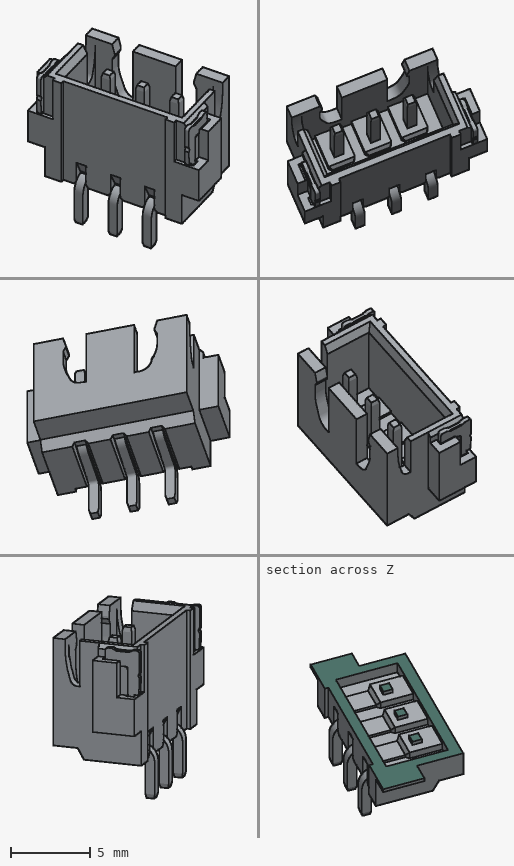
import cadquery as cq
import math


shell_width = 10.0
shell_height = 7.81
shell_back = 5.96
front_wall_y = 0.25
heel_height = 0.72
heel_y = 4.3
heel_slope_y = 3.88
front_rib_inner_x = 3.8
front_rib_outer_x = 4.44

cavity_width = 8.62
cavity_front = 0.99
cavity_back = 5.15
cavity_floor = 1.75
lead_in = 0.3
lead_in_depth = 0.59

curve_lean = math.radians(19.5)
side_slot_front = 4.16
side_slot_bottom = 4.8
side_slot_top_radius = 6.25
side_slot_root_radius = 0.51
tab_edge_x = 3.08
tab_hook = 0.18
tab_hook_height = 0.68
tab_hook_flat = 0.18
tab_hook_end = 1.21
tab_curve_start_z = 5.74
tab_curve_radius = 2.79
tab_curve_end_z = 4.0
tab_root_radius = 0.81
panel_edge_x = 1.56

overall_width = 12.5
wing_back = 2.82
wing_bottom = 2.29
wing_ledge = 4.72
wing_top = 7.0
wing_front = 1.2
clip_inner_x = 5.25
clip_thickness = 0.31
clip_front = -0.09
clip_back = 2.22
clip_top = 7.72
clip_arm_bottom = 6.61
clip_leg_back = 0.69
clip_leg_depth = 0.75
clip_foot_gap = 0.09
clip_corner = 0.18
clip_dip = 0.1
clip_dip_front = 0.52
clip_dip_back = 1.58
clip_dip_slope = 0.19
clip_dip_root_radius = 0.38
clip_dip_crest_radius = 0.15
clip_inner_corner = 0.15
clip_foot_corner = 0.1
clip_notch_radius = 0.05
clip_dip_bevel = 0.05
clip_notch_z = 6.1
clip_notch_half = 0.18
clip_taper_z = 5.84
clip_taper = 0.05
entry_chamfer = 0.15
entry_arm_back = 2.35
entry_leg_back = 0.76
web_front = 0.72
web_inset = 0.01
web_corner = 0.18
root_chamfer_height = 0.3

pin_pitch = 2.5
pin_count = 3
pin_size = 0.65
pin_front = -0.09
pin_post_y = 3.68
pin_bottom = -2.79
pin_top = 6.78
pin_tip = 0.3
pin_tip_inset = 0.08
pin_arm_tilt = math.radians(2.6)
bend_z = -0.39
bend_outer_radius = 1.04
bend_inner_radius = 0.25

passage_width = 0.7
passage_top = 1.72
passage_back_z = 0.74
passage_depth = 0.5
flare_width = 1.05
flare_height = 0.21
pad_height = 0.5
pad_width = 1.81
pad_front = 2.92
pad_step = 0.31
ridge_width = 1.41
ridge_back = 2.71

clip_outer_x = clip_inner_x + clip_thickness
pin_positions = [(i - (pin_count - 1) / 2) * pin_pitch for i in range(pin_count)]


def box(x0, x1, y0, y1, z0, z1):
    """Axis-aligned block between two corners."""
    return cq.Workplane("XY").box(x1 - x0, y1 - y0, z1 - z0, centered=False).translate((x0, y0, z0))


def both_sides(solid):
    """The solid together with its mirror image across X = 0."""
    return solid.union(solid.mirror("YZ"))


def on_arc(centre, radius, angle):
    """Point at the given angle on a circle."""
    return (centre[0] + radius * math.cos(angle), centre[1] + radius * math.sin(angle))


def make_shell():
    """Solid shell block with a stepped heel and raised ribs on the front wall."""
    half = shell_width / 2
    outline = [
        (front_wall_y, 0),
        (heel_slope_y, 0),
        (heel_y, heel_height),
        (shell_back, heel_height),
        (shell_back, shell_height),
        (front_wall_y, shell_height),
    ]
    shell = cq.Workplane("YZ").polyline(outline).close().extrude(half, both=True)
    rib = box(front_rib_inner_x, half, 0, front_wall_y, 0, wing_ledge)
    rib = rib.union(box(front_rib_inner_x, front_rib_outer_x, 0, front_wall_y, 0, shell_height))
    return shell.union(both_sides(rib))


def make_wings():
    """Stepped side wings, each with a web that backs the gap inside the clip."""
    half = shell_width / 2
    outer = overall_width / 2
    base = box(half, outer, 0, wing_back, wing_bottom, wing_ledge)
    block = box(clip_inner_x, outer, wing_front, wing_back, wing_ledge, wing_top)
    root_outline = [
        (half, wing_bottom),
        (clip_inner_x, wing_bottom),
        (clip_inner_x, shell_height - root_chamfer_height),
        (half, shell_height),
    ]
    root = cq.Workplane("XZ", origin=(0, front_wall_y, 0)).polyline(root_outline).close()
    root = root.extrude(front_wall_y - wing_back)
    web = box(clip_inner_x, clip_outer_x - web_inset, web_front, wing_front, wing_ledge, clip_arm_bottom)
    web = web.edges("|X").edges("<Y and >Z").fillet(web_corner)
    return both_sides(base.union(block).union(root).union(web))


def entry_bevel(y_front, y_back, y_mouth, top):
    """Bevelled mouth around a clip: slopes in from the outer side and from the back."""
    x_mouth = clip_outer_x + entry_chamfer

    def corners(x_outer, y_end):
        return [(clip_inner_x, y_front), (x_outer, y_front), (x_outer, y_end), (clip_inner_x, y_end)]

    bevel = cq.Workplane("XY", origin=(0, 0, top - entry_chamfer))
    bevel = bevel.polyline(corners(clip_outer_x, y_back)).close()
    bevel = bevel.workplane(offset=entry_chamfer).polyline(corners(x_mouth, y_mouth)).close()
    return bevel.loft(ruled=True)


def cut_clip_entries(body):
    """Bevelled mouths where the arm and the leg of each clip enter its wing."""
    upper = entry_bevel(wing_front, clip_back, entry_arm_back, wing_top)
    lower = entry_bevel(front_wall_y, web_front, entry_leg_back, wing_ledge)
    leg_pocket = box(
        clip_inner_x, clip_outer_x, front_wall_y, web_front, wing_ledge - clip_leg_depth, wing_ledge
    )
    return body.cut(both_sides(upper)).cut(both_sides(lower.union(leg_pocket)))


def cut_cavity(body):
    """Mating cavity, open at the top."""
    half = cavity_width / 2
    body = body.cut(box(-half, half, cavity_front, cavity_back, cavity_floor, shell_height))

    def mouth(flare):
        x, y = half + flare, cavity_front - flare
        return [(-x, y), (x, y), (x, cavity_back), (-x, cavity_back)]

    lead = cq.Workplane("XY", origin=(0, 0, shell_height - lead_in_depth)).polyline(mouth(0)).close()
    lead = lead.workplane(offset=lead_in_depth).polyline(mouth(lead_in)).close()
    return body.cut(lead.loft(ruled=True))


def cut_side_slots(body):
    """Slots behind the side walls, with a back edge that curves into the flat bottom."""
    root_y = (
        cavity_back
        - side_slot_top_radius * (1 - math.cos(curve_lean))
        - side_slot_root_radius * math.cos(curve_lean)
    )
    root_centre = (root_y, side_slot_bottom + side_slot_root_radius)
    join = on_arc(root_centre, side_slot_root_radius, -curve_lean)
    curve_top = join[1] + side_slot_top_radius * math.sin(curve_lean)
    profile = (
        cq.Workplane("YZ")
        .moveTo(side_slot_front, shell_height)
        .lineTo(side_slot_front, side_slot_bottom)
        .lineTo(root_y, side_slot_bottom)
        .threePointArc(
            on_arc(root_centre, side_slot_root_radius, -(math.pi / 2 + curve_lean) / 2), join
        )
        .threePointArc(
            on_arc(
                (cavity_back - side_slot_top_radius, curve_top), side_slot_top_radius, -curve_lean / 2
            ),
            (cavity_back, curve_top),
        )
        .lineTo(cavity_back, shell_height)
        .close()
    )
    return body.cut(profile.extrude(shell_width / 2, both=True))


def cut_back_notches(body):
    """Two openings in the back wall that leave a hooked tab at each end."""
    curve_centre = (tab_edge_x - tab_curve_radius, tab_curve_start_z)
    curve_end = on_arc(curve_centre, tab_curve_radius, -curve_lean)
    slope_end_x = curve_end[0] - (curve_end[1] - tab_curve_end_z) * math.tan(curve_lean)
    root_centre = (
        slope_end_x - tab_root_radius * math.cos(curve_lean),
        tab_curve_end_z + tab_root_radius * math.sin(curve_lean),
    )
    notch_bottom = root_centre[1] - tab_root_radius
    hook_x = tab_edge_x - tab_hook
    profile = (
        cq.Workplane("XZ", origin=(0, cavity_back, 0))
        .moveTo(panel_edge_x, shell_height)
        .lineTo(panel_edge_x, notch_bottom)
        .lineTo(root_centre[0], notch_bottom)
        .threePointArc(
            on_arc(root_centre, tab_root_radius, -(math.pi / 2 + curve_lean) / 2),
            (slope_end_x, tab_curve_end_z),
        )
        .lineTo(*curve_end)
        .threePointArc(
            on_arc(curve_centre, tab_curve_radius, -curve_lean / 2), (tab_edge_x, tab_curve_start_z)
        )
        .lineTo(tab_edge_x, shell_height - tab_hook_end)
        .lineTo(hook_x, shell_height - tab_hook_height - tab_hook_flat)
        .lineTo(hook_x, shell_height - tab_hook_height)
        .lineTo(tab_edge_x, shell_height)
        .close()
    )
    return body.cut(both_sides(profile.extrude(cavity_back - shell_back)))


def floor_pad(x):
    """Wide pad under the post, ramping down to a narrower ridge that meets the front wall."""
    top = cavity_floor + pad_height
    ridge_top = top - pad_step
    ridge = box(-ridge_width / 2, ridge_width / 2, cavity_front, ridge_back, cavity_floor, ridge_top)
    pad = box(-pad_width / 2, pad_width / 2, pad_front, cavity_back, cavity_floor, top)
    ramp = (
        cq.Workplane("XZ", origin=(0, pad_front, 0))
        .center(0, cavity_floor + pad_height / 2)
        .rect(pad_width, pad_height)
        .workplane(offset=pad_front - ridge_back)
        .center(0, -pad_step / 2)
        .rect(ridge_width, pad_height - pad_step)
        .loft(ruled=True)
    )
    return ridge.union(pad).union(ramp).translate((x, 0, 0))


def pin_passage(x):
    """Front slot with a steep sloping ceiling, plus a flared groove along the underside."""
    passage_back = front_wall_y + passage_depth
    outline = [
        (front_wall_y, 0),
        (front_wall_y, passage_top),
        (passage_back, passage_back_z),
        (passage_back, 0),
    ]
    slot = cq.Workplane("YZ").polyline(outline).close().extrude(passage_width / 2, both=True)
    flare = [
        (-flare_width / 2, 0),
        (flare_width / 2, 0),
        (passage_width / 2, flare_height),
        (-passage_width / 2, flare_height),
    ]
    groove = cq.Workplane("XZ").polyline(flare).close().extrude(-heel_y)
    return slot.union(groove).translate((x, 0, 0))


def pin_end(z, direction, y):
    """Tapered tip that extends from the square pin along +Z or -Z."""
    taper = math.degrees(math.atan2(pin_tip_inset, pin_tip))
    plane = cq.Plane(origin=(0, y, z), xDir=(1, 0, 0), normal=(0, 0, direction))
    return cq.Workplane(plane).rect(pin_size, pin_size).extrude(pin_tip, taper=taper)


def make_pin(x):
    """Square pin: a leg down the front, an arm through the floor and a post in the cavity."""
    leg_back = pin_front + pin_size
    post_front = pin_post_y - pin_size / 2
    post_back = pin_post_y + pin_size / 2
    leg_end = pin_bottom + pin_tip
    post_end = pin_top - pin_tip
    slope = math.tan(pin_arm_tilt)
    arc_end = math.pi / 2 + pin_arm_tilt
    arc_middle = (math.pi + arc_end) / 2

    outer_centre = (pin_front + bend_outer_radius, bend_z)
    inner_centre = (leg_back + bend_inner_radius, bend_z)
    outer_end = on_arc(outer_centre, bend_outer_radius, arc_end)
    inner_end = on_arc(inner_centre, bend_inner_radius, arc_end)

    rear_bend_y = post_back - bend_outer_radius
    rear_bend_z = inner_end[1] + (rear_bend_y - inner_end[0]) * slope
    profile = (
        cq.Workplane("YZ")
        .moveTo(pin_front, leg_end)
        .lineTo(pin_front, bend_z)
        .threePointArc(on_arc(outer_centre, bend_outer_radius, arc_middle), outer_end)
        .lineTo(post_front, outer_end[1] + (post_front - outer_end[0]) * slope)
        .lineTo(post_front, post_end)
        .lineTo(post_back, post_end)
        .lineTo(post_back, rear_bend_z + bend_outer_radius)
        .radiusArc((rear_bend_y, rear_bend_z), bend_outer_radius)
        .lineTo(*inner_end)
        .threePointArc(on_arc(inner_centre, bend_inner_radius, arc_middle), (leg_back, bend_z))
        .lineTo(leg_back, leg_end)
        .close()
    )
    pin = profile.extrude(pin_size / 2, both=True)
    pin = pin.union(pin_end(leg_end, -1, (pin_front + leg_back) / 2))
    pin = pin.union(pin_end(post_end, 1, pin_post_y))
    return pin.translate((x, 0, 0))


def edge_bevel(edge, size):
    """Diamond bar centred on a straight edge; cutting it away leaves a 45 degree bevel."""
    plane = cq.Plane(origin=edge.startPoint(), normal=edge.tangentAt(0))
    diamond = [(size, 0), (0, size), (-size, 0), (0, -size)]
    return cq.Workplane(plane).polyline(diamond).close().extrude(edge.Length())


def make_clips():
    """L-shaped sheet clips: an arm let into each wing and a leg down the front."""
    outline = [
        (clip_front, clip_top),
        (clip_dip_front - clip_dip_slope, clip_top),
        (clip_dip_front, clip_top - clip_dip),
        (clip_dip_back, clip_top - clip_dip),
        (clip_dip_back + clip_dip_slope, clip_top),
        (clip_back, clip_top),
        (clip_back, clip_arm_bottom),
        (clip_leg_back, clip_arm_bottom),
        (clip_leg_back, wing_ledge - clip_leg_depth),
        (front_wall_y, wing_ledge - clip_leg_depth),
        (front_wall_y, wing_ledge + clip_foot_gap),
        (clip_front + clip_taper, wing_ledge + clip_foot_gap),
        (clip_front, clip_taper_z),
        (clip_front, clip_notch_z - clip_notch_half),
        (0, clip_notch_z),
        (clip_front, clip_notch_z + clip_notch_half),
    ]
    clip = cq.Workplane("YZ", origin=(clip_inner_x, 0, 0)).polyline(outline).close().extrude(clip_thickness)

    dip_z = clip_top - clip_dip
    rounded_corners = [
        (clip_front, clip_top, clip_corner),
        (clip_back, clip_top, clip_corner),
        (clip_dip_front - clip_dip_slope, clip_top, clip_dip_crest_radius),
        (clip_dip_back + clip_dip_slope, clip_top, clip_dip_crest_radius),
        (clip_dip_front, dip_z, clip_dip_root_radius),
        (clip_dip_back, dip_z, clip_dip_root_radius),
        (clip_leg_back, clip_arm_bottom, clip_inner_corner),
        (clip_front + clip_taper, wing_ledge + clip_foot_gap, clip_foot_corner),
        (0, clip_notch_z, clip_notch_radius),
    ]
    middle_x = clip_inner_x + clip_thickness / 2
    for y, z, radius in rounded_corners:
        corner = cq.selectors.NearestToPointSelector((middle_x, y, z))
        clip = clip.edges("|X").edges(corner).fillet(radius)

    middle_y = (clip_dip_front + clip_dip_back) / 2
    for x in (clip_inner_x, clip_outer_x):
        dip_edge = cq.selectors.NearestToPointSelector((x, middle_y, dip_z))
        clip = clip.cut(edge_bevel(clip.edges("|Y").edges(dip_edge).val(), clip_dip_bevel))
    return both_sides(clip)


result = cut_clip_entries(make_shell().union(make_wings()))
result = cut_cavity(result)
result = cut_side_slots(result)
result = cut_back_notches(result)
for pin_x in pin_positions:
    result = result.union(floor_pad(pin_x)).cut(pin_passage(pin_x)).union(make_pin(pin_x))
result = result.union(make_clips())